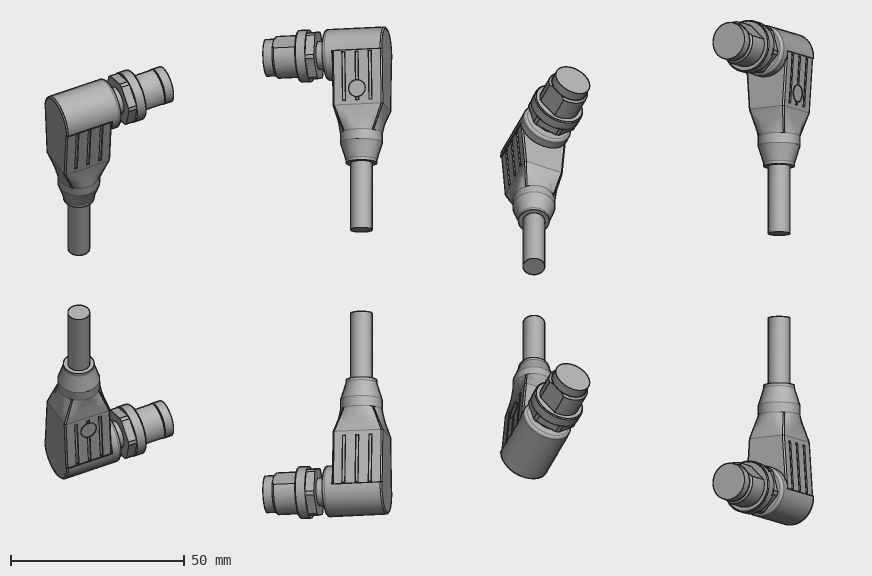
import cadquery as cq
import math

overall_height = 144.1
overall_depth = 35.5
collar_radius = 7.5
plug_axis_height = overall_height / 2 - collar_radius
back_y = -overall_depth / 2

barrel_radius = 7.4
barrel_bottom = -0.5
grip_depth = 14.7
barrel_length = 17.7
barrel_back_chamfer = 0.5
barrel_front_fillet = 0.9

neck_radius = 4.0
neck_end = 20.0
hex_corner_radius = 7.4
hex_flat_distance = 6.6
hex_sides = 6
hex_first_angle = 45.0
hex_end = 22.6
collar_end = 25.7
collar_chamfer = 0.3
sleeve_radius = 6.0
sleeve_flat_distance = 5.2
sleeve_flat_angle = 135.0
sleeve_end = 32.7
sleeve_chamfer = 0.6
tip_radius = 5.3

grip_top_half_width = 7.0
grip_bottom_half_width = 5.9
grip_bottom = -16.3
grip_corner = 0.5
cable_y = 7.5

outlet_radius = 6.0
outlet_top = -23.6
cone_top = -26.5
cone_bottom = -31.5
rim_radius = 4.5
rim_bottom = -32.5
cable_radius = 3.2
cable_end = -52.2
corner_arc_angle = 4.0

groove_count = 3
groove_width = 0.9
groove_depth = 0.5
groove_spacing = 3.9
groove_top = -0.9
groove_bottom = -15.0
pad_radius = 2.5
pad_height = 0.1
pad_z = -11.7


def cylinder_y(radius, start, end):
    """Cylinder along Y between two distances from the back face."""
    return cq.Workplane("XZ", origin=(0, start, 0)).circle(radius).extrude(start - end)


def cylinder_z(radius, top, bottom):
    """Cylinder along the cable axis."""
    return cq.Workplane("XY", origin=(0, cable_y, bottom)).circle(radius).extrude(top - bottom)


def cut_flat(body, distance, angle, start, end):
    """Cut a flat whose normal lies at `angle` from +X towards +Z."""
    size = 4 * collar_radius
    cutter = (
        cq.Workplane("XY")
        .box(size, end - start, size, centered=(False, False, True))
        .translate((distance, start, 0))
        .rotate((0, 0, 0), (0, 1, 0), -angle)
    )
    return body.cut(cutter)


def make_barrel():
    """Half-round over the grip and full round ahead of it."""
    barrel = cylinder_y(barrel_radius, 0, barrel_length)
    barrel = barrel.faces("<Y").chamfer(barrel_back_chamfer)
    barrel = barrel.faces(">Y").edges().fillet(barrel_front_fillet)
    grip_space = cq.Workplane("XY").box(
        4 * barrel_radius, grip_depth, 2 * barrel_radius, centered=(True, False, False)
    )
    return barrel.cut(grip_space.translate((0, 0, barrel_bottom - 2 * barrel_radius)))


def make_hex_nut():
    """Six flats with rounded corners between them."""
    nut = cylinder_y(hex_corner_radius, neck_end, hex_end)
    for side in range(hex_sides):
        angle = hex_first_angle + side * 360 / hex_sides
        nut = cut_flat(nut, hex_flat_distance, angle, neck_end, hex_end)
    return nut


def make_sleeve():
    """Sleeve with two opposite wrench flats."""
    sleeve = cylinder_y(sleeve_radius, collar_end, sleeve_end).faces(">Y").chamfer(sleeve_chamfer)
    for angle in (sleeve_flat_angle, sleeve_flat_angle + 180):
        sleeve = cut_flat(sleeve, sleeve_flat_distance, angle, collar_end, sleeve_end)
    return sleeve


def make_connector():
    """Everything ahead of the barrel."""
    collar = cylinder_y(collar_radius, hex_end, collar_end).faces(">Y").chamfer(collar_chamfer)
    return (
        cylinder_y(neck_radius, barrel_length, neck_end)
        .union(make_hex_nut())
        .union(collar)
        .union(make_sleeve())
        .union(cylinder_y(tip_radius, sleeve_end, overall_depth))
    )


def grip_section(half_width, height):
    """Rectangle with cut corners, reaching from the back face to the grip depth."""
    x, y = half_width, grip_depth / 2
    c = grip_corner
    corners = [
        (x, c - y), (x, y - c), (x - c, y), (c - x, y),
        (-x, y - c), (-x, c - y), (c - x, -y), (x - c, -y),
    ]
    points = [cq.Vector(px, py + grip_depth / 2, height) for px, py in corners]
    return cq.Wire.makePolygon(points, close=True)


def outlet_section(height):
    """Circle split into eight arcs that match the sides of the grip section."""
    def point(angle):
        a = math.radians(angle)
        return cq.Vector(outlet_radius * math.cos(a), cable_y + outlet_radius * math.sin(a), height)

    arcs = []
    for middle in range(0, 360, 90):
        side_start = middle - 45 + corner_arc_angle / 2
        side_end = middle + 45 - corner_arc_angle / 2
        next_start = side_end + corner_arc_angle
        arcs.append(cq.Edge.makeThreePointArc(point(side_start), point(middle), point(side_end)))
        arcs.append(cq.Edge.makeThreePointArc(point(side_end), point(middle + 45), point(next_start)))
    return cq.Wire.assembleEdges(arcs)


def make_grip():
    """Tapered grip and its transition to the round cable outlet."""
    bottom_section = grip_section(grip_bottom_half_width, grip_bottom)
    block = cq.Solid.makeLoft([grip_section(grip_top_half_width, 0), bottom_section], True)
    transition = cq.Solid.makeLoft([bottom_section, outlet_section(outlet_top)], True)
    return cq.Workplane(block).union(cq.Workplane(transition))


def make_outlet():
    """Round outlet, cone, rim and cable."""
    cone = (
        cq.Workplane("XY", origin=(0, cable_y, cone_top))
        .circle(outlet_radius)
        .workplane(offset=cone_bottom - cone_top)
        .circle(rim_radius)
        .loft()
    )
    return (
        cylinder_z(outlet_radius, outlet_top, cone_top)
        .union(cone)
        .union(cylinder_z(rim_radius, cone_bottom, rim_bottom))
        .union(cylinder_z(cable_radius, rim_bottom, cable_end))
    )


def side_plate(depth_in, depth_out):
    """Layer following the -X side of the grip, from inside to outside its surface."""
    top_x = -grip_top_half_width
    bottom_x = -grip_bottom_half_width
    return (
        cq.Workplane("XZ")
        .polyline([
            (top_x - depth_out, 0),
            (top_x + depth_in, 0),
            (bottom_x + depth_in, grip_bottom),
            (bottom_x - depth_out, grip_bottom),
        ])
        .close()
        .extrude(-grip_depth)
    )


def make_grooves():
    """Vertical grooves on the -X side, as a cutter."""
    height = groove_top - groove_bottom
    bars = (
        cq.Workplane("XY", origin=(0, cable_y, groove_bottom))
        .rarray(1.5, groove_spacing, 1, groove_count)
        .rect(2 * barrel_radius, groove_width)
        .extrude(height)
    )
    return bars.intersect(side_plate(groove_depth, pad_height))


def make_pad():
    """Round raised pad on the -X side, filling the groove beneath it."""
    disc = (
        cq.Workplane("YZ")
        .center(cable_y, pad_z)
        .circle(pad_radius)
        .extrude(-2 * barrel_radius)
    )
    return disc.intersect(side_plate(groove_depth, pad_height))


def make_plug():
    """One plug with its cable hanging down from the barrel axis."""
    grooves = make_grooves()
    grip = make_grip().cut(grooves).cut(grooves.mirror("YZ")).union(make_pad())
    plug = make_barrel().union(make_connector()).union(grip).union(make_outlet())
    return plug.translate((0, back_y, plug_axis_height))


plugs = []
for turn in (0, 180):
    plugs.append(make_plug().rotate((0, 0, 0), (0, 1, 0), turn).val())

result = cq.Compound.makeCompound(plugs)